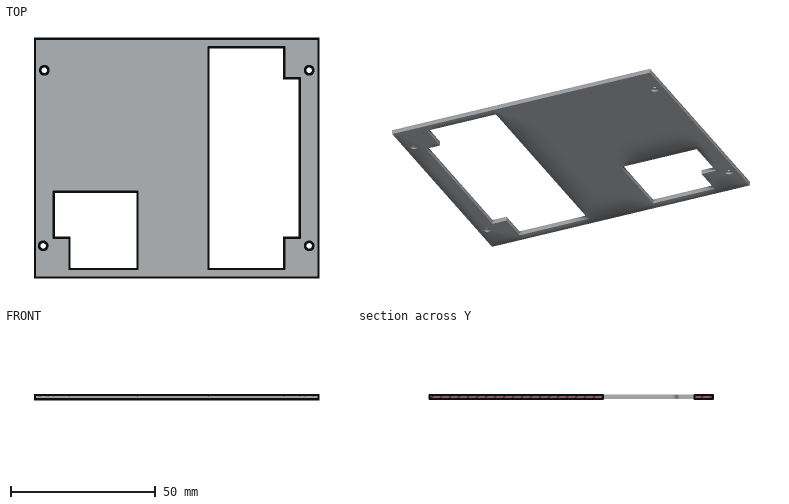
import cadquery as cq

plate_length = 98.0
plate_width = 82.6
plate_thickness = 1.6

window_rim = 3.0
tab_height = 10.8
window_bottom = window_rim
window_top = plate_width - window_rim
tab_top = window_bottom + tab_height

large_left = 60.0
large_right = 91.4
large_tab_length = 5.3

small_left = 6.6
small_right = 35.4
small_top = 29.6
small_tab_length = 5.4

hole_diameter = 2.7
hole_side_inset = 3.2
lower_left_hole_inset = 2.8
hole_end_inset = 11.0


def window_cutter(outline):
    """Prism through the plate thickness with the given outline."""
    return cq.Workplane("XY").polyline(outline).close().extrude(plate_thickness)


plate = cq.Workplane("XY").box(plate_length, plate_width, plate_thickness, centered=False)

large_tab_left = large_right - large_tab_length
upper_tab_bottom = window_top - tab_height
large_window = window_cutter([
    (large_left, window_bottom),
    (large_tab_left, window_bottom),
    (large_tab_left, tab_top),
    (large_right, tab_top),
    (large_right, upper_tab_bottom),
    (large_tab_left, upper_tab_bottom),
    (large_tab_left, window_top),
    (large_left, window_top),
])

small_tab_right = small_left + small_tab_length
small_window = window_cutter([
    (small_tab_right, window_bottom),
    (small_right, window_bottom),
    (small_right, small_top),
    (small_left, small_top),
    (small_left, tab_top),
    (small_tab_right, tab_top),
])

right_hole_x = plate_length - hole_side_inset
upper_hole_y = plate_width - hole_end_inset
hole_centers = [
    (lower_left_hole_inset, hole_end_inset),
    (right_hole_x, hole_end_inset),
    (right_hole_x, upper_hole_y),
    (hole_side_inset, upper_hole_y),
]
holes = (
    cq.Workplane("XY")
    .pushPoints(hole_centers)
    .circle(hole_diameter / 2)
    .extrude(plate_thickness)
)

result = plate.cut(large_window).cut(small_window).cut(holes)